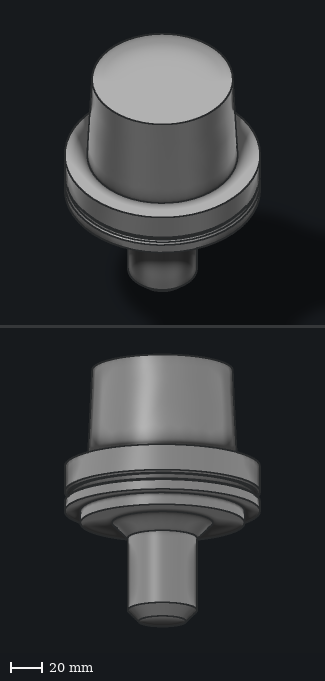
import cadquery as cq

total_height = 164.6
flange_top = 101.5
groove_bevel_top = 85.0
groove_top = 83.5
groove_bottom = 79.7
groove_bevel_bottom = 78.5
flange_bottom = 72.3
collar_bottom = 64.5
shank_top = 54.5
tip_bevel_height = 7.2

taper_top_diameter = 90.0
taper_base_diameter = 96.3
flange_diameter = 125.0
groove_lip_diameter = 121.8
groove_diameter = 117.0
collar_diameter = 105.0
neck_diameter = 64.5
shank_diameter = 44.5
tip_diameter = 30.3

corners = [
    (tip_diameter, 0),
    (shank_diameter, tip_bevel_height),
    (shank_diameter, shank_top),
    (neck_diameter, collar_bottom),
    (collar_diameter, collar_bottom),
    (collar_diameter, flange_bottom),
    (flange_diameter, flange_bottom),
    (flange_diameter, groove_bevel_bottom),
    (groove_lip_diameter, groove_bottom),
    (groove_diameter, groove_bottom),
    (groove_diameter, groove_top),
    (groove_lip_diameter, groove_top),
    (flange_diameter, groove_bevel_top),
    (flange_diameter, flange_top),
    (taper_base_diameter, flange_top),
    (taper_top_diameter, total_height),
]
half_profile = [(0, 0)]
half_profile += [(diameter / 2, height) for diameter, height in corners]
half_profile += [(0, total_height)]

result = cq.Workplane("XZ").polyline(half_profile).close().revolve(360, (0, 0), (0, 1))